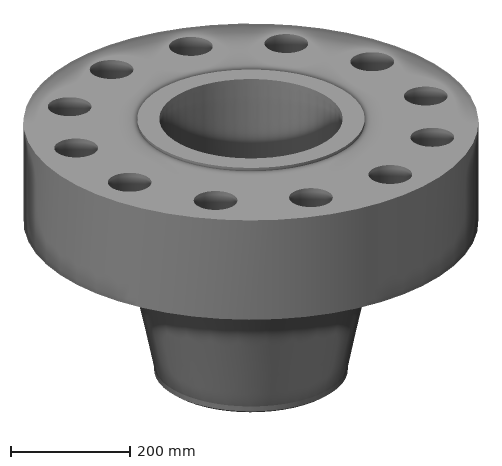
import cadquery as cq
import math

flange_diameter = 762.0
total_height = 470.0
flange_thickness = 184.5
raised_face_diameter = 381.0
raised_face_height = 6.0
bore_diameter = 307.0

neck_top_diameter = 442.0
neck_end_diameter = 324.5
neck_end_height = 14.0
neck_fillet_radius = 20.0
weld_bevel_width = 6.0
weld_bevel_height = 4.5

bolt_count = 12
bolt_circle_diameter = 619.0
bolt_hole_diameter = 73.0

flange_top = total_height - raised_face_height
flange_bottom = flange_top - flange_thickness


def make_flange():
    """Flange disc with its raised sealing face."""
    disc = cq.Workplane("XY").workplane(offset=flange_bottom)
    disc = disc.circle(flange_diameter / 2).extrude(flange_thickness)
    return disc.faces(">Z").workplane().circle(raised_face_diameter / 2).extrude(raised_face_height)


def make_neck():
    """Revolved neck: weld bevel, short cylinder, cone and tangent fillet under the flange."""
    end_radius = neck_end_diameter / 2
    top_radius = neck_top_diameter / 2
    taper = math.atan2(top_radius - end_radius, flange_bottom - neck_end_height)
    sweep = math.pi / 2 - taper
    tangent_length = neck_fillet_radius * math.tan(sweep / 2)
    cone_end = (
        top_radius - tangent_length * math.sin(taper),
        flange_bottom - tangent_length * math.cos(taper),
    )
    fillet_end = (top_radius + tangent_length, flange_bottom)
    fillet_middle = (
        fillet_end[0] - neck_fillet_radius * math.sin(sweep / 2),
        flange_bottom - neck_fillet_radius * (1 - math.cos(sweep / 2)),
    )
    return (
        cq.Workplane("XZ")
        .moveTo(0, 0)
        .lineTo(end_radius - weld_bevel_width, 0)
        .lineTo(end_radius, weld_bevel_height)
        .lineTo(end_radius, neck_end_height)
        .lineTo(*cone_end)
        .threePointArc(fillet_middle, fillet_end)
        .lineTo(0, flange_bottom)
        .close()
        .revolve(360, (0, 0, 0), (0, 1, 0))
    )


def make_bore():
    return cq.Workplane("XY").circle(bore_diameter / 2).extrude(total_height)


def make_bolt_holes():
    return (
        cq.Workplane("XY")
        .workplane(offset=flange_bottom)
        .polarArray(bolt_circle_diameter / 2, 0, 360, bolt_count)
        .circle(bolt_hole_diameter / 2)
        .extrude(flange_thickness)
    )


result = make_flange().union(make_neck()).cut(make_bore()).cut(make_bolt_holes())